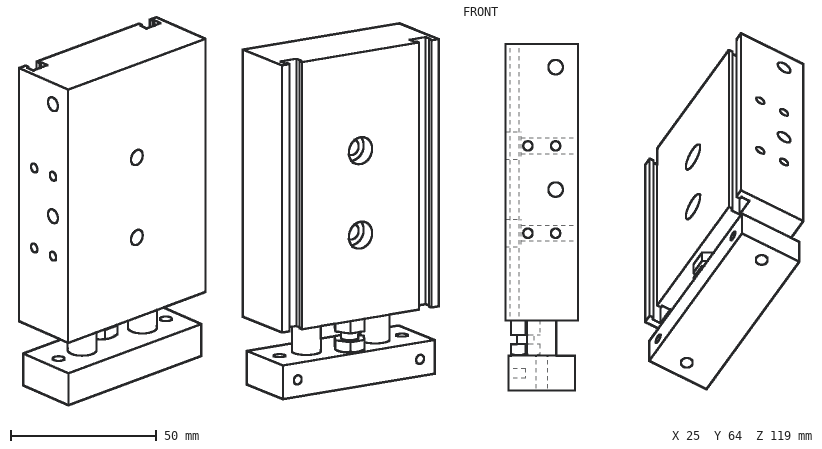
import cadquery as cq
import math

total_height = 119.0
plate_thickness = 12.0
rod_length = 12.0
plate_top = plate_thickness
housing_bottom = plate_top + rod_length

housing_depth = 25.0
housing_width = 64.0
housing_height = total_height - housing_bottom
housing_face_x = -housing_depth / 2
housing_side_y = -housing_width / 2

slot_opening = 5.0
slot_inner_width = 6.5
slot_lip = 1.5
slot_depth = 4.8
slot_edge_distance = 5.6
slot_y = housing_width / 2 - slot_edge_distance

mount_drops = (35.0, 65.0)
mount_diameter = 5.5
counterbore_diameter = 9.5
counterbore_depth = 5.4
side_hole_diameter = 3.2
side_hole_depth = 6.0
side_hole_x = 4.8
port_drops = (8.0, 50.0)
port_diameter = 5.0
port_depth = 6.0

plate_depth = 23.0
plate_width = 62.0
rod_diameter = 10.0
rod_y = 14.0
plate_hole_y = 25.0
plate_through_diameter = 4.0
plate_face_hole_diameter = 3.2
plate_face_hole_depth = 6.0

bolt_x = -5.6
hex_across_flats = 10.0
hex_across_corners = hex_across_flats / math.cos(math.radians(30))
nut_height = 3.9
head_height = 5.0
shank_diameter = 6.0
nut_seat_diameter = 9.5
nut_chamfer_angle = 30.0


def cylinder(start, direction, diameter, length):
    """Solid cylinder running from a start point along a direction."""
    return cq.Workplane(cq.Solid.makeCylinder(diameter / 2, length, cq.Vector(*start), cq.Vector(*direction)))


def face_slab(depth, width, y):
    """Full-height block reaching into the housing from its -X face."""
    return (
        cq.Workplane("XY", origin=(housing_face_x + depth / 2, y, housing_bottom))
        .box(depth, width, housing_height, centered=(True, True, False))
    )


def t_slot(y):
    inner = face_slab(slot_depth, slot_inner_width, y).cut(face_slab(slot_lip, slot_inner_width, y))
    return inner.union(face_slab(slot_lip, slot_opening, y))


def mounting_hole(z):
    start = (housing_face_x, 0, z)
    through = cylinder(start, (1, 0, 0), mount_diameter, housing_depth)
    return through.union(cylinder(start, (1, 0, 0), counterbore_diameter, counterbore_depth))


def make_housing():
    body = (
        cq.Workplane("XY", origin=(0, 0, housing_bottom))
        .box(housing_depth, housing_width, housing_height, centered=(True, True, False))
    )
    for y in (-slot_y, slot_y):
        body = body.cut(t_slot(y))
    for drop in mount_drops:
        z = total_height - drop
        body = body.cut(mounting_hole(z))
        for x in (-side_hole_x, side_hole_x):
            body = body.cut(cylinder((x, housing_side_y, z), (0, 1, 0), side_hole_diameter, side_hole_depth))
    for drop in port_drops:
        start = (side_hole_x, housing_side_y, total_height - drop)
        body = body.cut(cylinder(start, (0, 1, 0), port_diameter, port_depth))
    return body


def make_rod_plate():
    """End plate with its two guide rods, whose ends meet the housing."""
    plate = cq.Workplane("XY").box(plate_depth, plate_width, plate_thickness, centered=(True, True, False))
    for side in (-1, 1):
        hole_y = side * plate_hole_y
        face_start = (-plate_depth / 2, hole_y, plate_thickness / 2)
        plate = plate.union(cylinder((0, side * rod_y, plate_top), (0, 0, 1), rod_diameter, rod_length))
        plate = plate.cut(cylinder((0, hole_y, 0), (0, 0, 1), plate_through_diameter, plate_thickness))
        plate = plate.cut(cylinder(face_start, (1, 0, 0), plate_face_hole_diameter, plate_face_hole_depth))
    return plate


def hexagon(z, height):
    """Hexagonal prism on the bolt axis with flats facing -X and +X."""
    return (
        cq.Workplane("XY", origin=(bolt_x, 0, z))
        .transformed(rotate=(0, 0, 90))
        .polygon(6, hex_across_corners)
        .extrude(height)
    )


def lock_nut():
    """Hexagon whose lower corners are trimmed by a cone."""
    bottom_radius = nut_seat_diameter / 2
    top_radius = bottom_radius + nut_height / math.tan(math.radians(nut_chamfer_angle))
    cone = cq.Solid.makeCone(bottom_radius, top_radius, nut_height, cq.Vector(bolt_x, 0, plate_top))
    return hexagon(plate_top, nut_height).intersect(cq.Workplane(cone))


def make_stop_bolt():
    shank = cylinder((bolt_x, 0, plate_top), (0, 0, 1), shank_diameter, rod_length)
    head = hexagon(housing_bottom - head_height, head_height)
    return shank.union(lock_nut()).union(head)


housing = make_housing()
rod_plate = make_rod_plate()
stop_bolt = make_stop_bolt()

result = cq.Compound.makeCompound([housing.val(), rod_plate.val(), stop_bolt.val()])